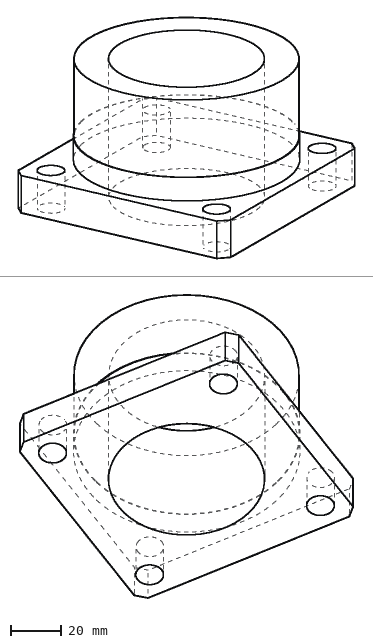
import cadquery as cq

flange_side = 100.0
flange_thickness = 16.0
corner_chamfer = 4.0

hole_diameter = 11.0
hole_spacing = 78.0

total_height = 59.0
pilot_diameter = 90.0
pilot_height = 10.0
body_diameter = 89.5
bore_diameter = 62.0
body_height = total_height - flange_thickness - pilot_height


def make_flange():
    """Square plate with chamfered corners, resting on Z = 0."""
    plate = cq.Workplane("XY").rect(flange_side, flange_side).extrude(flange_thickness)
    return plate.edges("|Z").chamfer(corner_chamfer)


def add_bushing(part):
    """Stack the pilot and the longer body on the flange."""
    part = part.faces(">Z").workplane().circle(pilot_diameter / 2).extrude(pilot_height)
    return part.faces(">Z").workplane().circle(body_diameter / 2).extrude(body_height)


def cut_bore(part):
    """Bore straight through the full height."""
    bore = cq.Workplane("XY").circle(bore_diameter / 2).extrude(total_height)
    return part.cut(bore)


def cut_mounting_holes(part):
    """Four through holes on a square pattern in the flange corners."""
    holes = (
        cq.Workplane("XY")
        .rect(hole_spacing, hole_spacing, forConstruction=True)
        .vertices()
        .circle(hole_diameter / 2)
        .extrude(flange_thickness)
    )
    return part.cut(holes)


result = cut_mounting_holes(cut_bore(add_bushing(make_flange())))